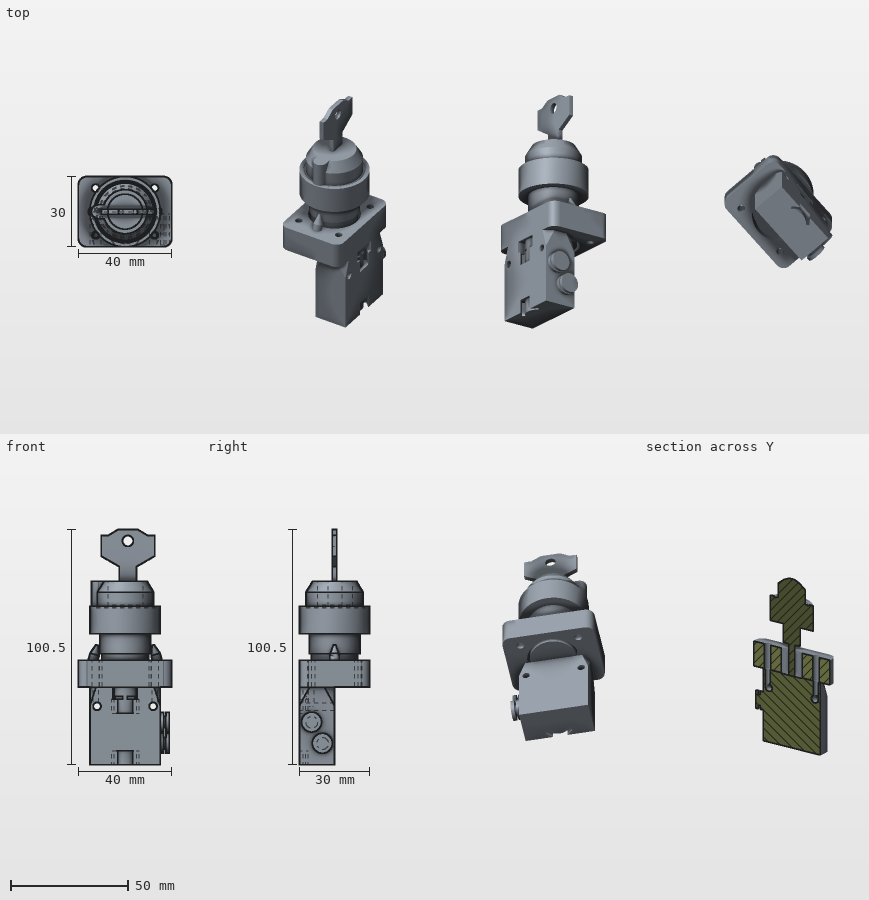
import cadquery as cq


block_height = 33.2
plate_top = 44.7
neck_step = 47.3
bezel_bottom = 55.9
bezel_top = 67.7
cone_start = 73.8
knob_top = 78.4
key_top = 100.5

plate_length = 40.0
plate_width = 30.0
plate_corner_radius = 3.7
neck_hole_dia = 22.5
screw_hole_dia = 3.2
screw_hole_x = 12.6
screw_hole_y = 10.0

pin_dia = 4.0
pin_tip_dia = 1.0
pin_x = 13.7
pin_tilt = 15.0
pin_shank_length = 2.5
pin_cone_length = 4.1
pin_root_length = 1.5

block_length = plate_width
block_depth = plate_width / 2
corner_cut_x = 2.6
corner_cut_y = 4.3
corner_cut_height = 7.9
cross_hole_dia = 3.2
cross_hole_x = 12.0
cross_hole_z = 25.0
screw_pilot_dia = 2.4

core_dia = 12.3
core_setback = 1.4
window_width = 10.6
window_bottom = 28.0
window_depth = 3.6
slot_width = 6.4
slot_flare_depth = 2.6
slot_depth = 3.9
upper_slot_bottom = 22.0
lower_slot_height = 6.0
notch_inner_x = 1.0
notch_height = 1.2
notch_depth = 3.0

terminal_dia = 8.5
terminal_waist_dia = 5.0
terminal_length = 3.9
terminal_flange = 1.5
terminal_height = 9.2
terminal_spacing = 9.0
terminal_offset = 2.3

neck_dia = 21.7
collar_dia = 20.0
bezel_dia = plate_width
knob_dia = 24.4
knob_top_dia = 18.8
groove_dia = 26.5
groove_lip_dia = 25.5
groove_depth = 0.6
groove_lip_drop = 0.3
lever_radius = 3.0
lever_reach = 14.4

lock_dia = 15.0
lock_depth = 10.0
key_x = 1.2
key_thickness = 2.0
blade_width = 7.5
bow_width = 22.9
bow_neck_z = 84.6
bow_bottom_z = 89.0
shoulder_z = 98.0
shoulder_width = 16.7
crown_width = 8.3
key_hole_dia = 4.5
key_hole_z = 95.6


def cylinder(dia, bottom, top):
    """Upright cylinder on the switch axis."""
    return cq.Workplane("XY").workplane(offset=bottom).circle(dia / 2).extrude(top - bottom)


def box(x_min, x_max, y_min, y_max, z_min, z_max):
    size = (x_max - x_min, y_max - y_min, z_max - z_min)
    return cq.Workplane("XY").box(*size, centered=False).translate((x_min, y_min, z_min))


def spring_pin(side):
    """Pointed pin that leans toward the switch axis; side is -1 or 1."""
    profile = [
        (0, -pin_root_length),
        (pin_dia / 2, -pin_root_length),
        (pin_dia / 2, pin_shank_length),
        (pin_tip_dia / 2, pin_shank_length + pin_cone_length),
        (0, pin_shank_length + pin_cone_length),
    ]
    pin = cq.Workplane("XZ").polyline(profile).close().revolve(360, (0, 0), (0, 1))
    pin = pin.rotate((0, 0, 0), (0, 1, 0), -side * pin_tilt)
    return pin.translate((side * pin_x, 0, plate_top))


def make_plate():
    plate = (
        cq.Workplane("XY")
        .workplane(offset=block_height)
        .rect(plate_length, plate_width)
        .extrude(plate_top - block_height)
        .edges("|Z")
        .fillet(plate_corner_radius)
    )
    for side in (-1, 1):
        plate = plate.union(spring_pin(side))
    screw_holes = (
        cq.Workplane("XY")
        .workplane(offset=block_height)
        .rect(2 * screw_hole_x, 2 * screw_hole_y, forConstruction=True)
        .vertices()
        .circle(screw_hole_dia / 2)
        .extrude(plate_top - block_height)
    )
    return plate.cut(screw_holes).cut(cylinder(neck_hole_dia, block_height, plate_top))


def block_corner_cut(x_side, y_corner, y_inward):
    """Sloping three-sided cut at one upper corner of the block."""
    x_corner = x_side * block_length / 2
    apex = cq.Vector(x_corner, y_corner, block_height - corner_cut_height)
    corner = cq.Vector(x_corner, y_corner, block_height)
    along_x = cq.Vector(x_corner - x_side * corner_cut_x, y_corner, block_height)
    along_y = cq.Vector(x_corner, y_corner + y_inward * corner_cut_y, block_height)
    triangles = [
        (corner, along_x, along_y),
        (corner, along_x, apex),
        (corner, along_y, apex),
        (along_x, along_y, apex),
    ]
    faces = [cq.Face.makeFromWires(cq.Wire.makePolygon(points, close=True)) for points in triangles]
    return cq.Workplane(cq.Solid.makeSolid(cq.Shell.makeShell(faces)))


def flared_slot(bottom, top):
    """Front slot whose sides flare out at 45 degrees and then close in again at 45 degrees."""
    front = -block_depth
    half_mouth = slot_width / 2
    half_flare = half_mouth + slot_flare_depth
    half_back = half_flare - (slot_depth - slot_flare_depth)
    right_half = [
        (half_mouth, front),
        (half_flare, front + slot_flare_depth),
        (half_back, front + slot_depth),
    ]
    left_half = [(-x, y) for x, y in reversed(right_half)]
    outline = cq.Workplane("XY").workplane(offset=bottom).polyline(right_half + left_half).close()
    return outline.extrude(top - bottom)


def block_recesses():
    """Window and slots in the front of the block, cut around the round core."""
    front = -block_depth
    half_window = window_width / 2
    window = box(-half_window, half_window, front, front + window_depth, window_bottom, block_height)
    upper_slot = flared_slot(upper_slot_bottom, window_bottom)
    lower_slot = flared_slot(0, lower_slot_height)
    core_y = front + core_setback + core_dia / 2
    core = cylinder(core_dia, 0, block_height).translate((0, core_y, 0))
    recesses = window.union(upper_slot).union(lower_slot).cut(core)
    notch = box(
        notch_inner_x, half_window,
        front + core_setback, front + notch_depth,
        window_bottom, window_bottom + notch_height,
    )
    return recesses.union(notch).union(notch.mirror("YZ"))


def terminal(y, height):
    """Round terminal with a narrow waist on the +X side of the block."""
    profile = [
        (0, 0),
        (0, terminal_dia / 2),
        (terminal_flange, terminal_dia / 2),
        (terminal_flange, terminal_waist_dia / 2),
        (terminal_length - terminal_flange, terminal_waist_dia / 2),
        (terminal_length - terminal_flange, terminal_dia / 2),
        (terminal_length, terminal_dia / 2),
        (terminal_length, 0),
    ]
    body = cq.Workplane("XY").polyline(profile).close().revolve(360, (0, 0), (1, 0))
    return body.translate((block_length / 2, y, height))


def make_block():
    block = box(-block_length / 2, block_length / 2, -block_depth, 0, 0, block_height)
    for x_side in (-1, 1):
        block = block.cut(block_corner_cut(x_side, -block_depth, 1))
        block = block.cut(block_corner_cut(x_side, 0, -1))
    cross_holes = (
        cq.Workplane("XZ")
        .pushPoints([(-cross_hole_x, cross_hole_z), (cross_hole_x, cross_hole_z)])
        .circle(cross_hole_dia / 2)
        .extrude(block_depth)
    )
    screw_pilots = (
        cq.Workplane("XY")
        .workplane(offset=cross_hole_z)
        .pushPoints([(-screw_hole_x, -screw_hole_y), (screw_hole_x, -screw_hole_y)])
        .circle(screw_pilot_dia / 2)
        .extrude(block_height - cross_hole_z)
    )
    block = block.cut(cross_holes).cut(screw_pilots).cut(block_recesses())
    middle_y = -block_depth / 2
    block = block.union(terminal(middle_y + terminal_offset, terminal_height))
    block = block.union(terminal(middle_y - terminal_offset, terminal_height + terminal_spacing))
    return block


def make_head():
    profile = [
        (0, block_height),
        (collar_dia / 2, block_height),
        (collar_dia / 2, neck_step),
        (neck_dia / 2, neck_step),
        (neck_dia / 2, bezel_bottom),
        (bezel_dia / 2, bezel_bottom),
        (bezel_dia / 2, bezel_top),
        (groove_dia / 2, bezel_top),
        (groove_dia / 2, bezel_top - groove_depth),
        (groove_lip_dia / 2, bezel_top - groove_depth),
        (groove_lip_dia / 2, bezel_top - groove_lip_drop),
        (knob_dia / 2, bezel_top - groove_lip_drop),
        (knob_dia / 2, cone_start),
        (knob_top_dia / 2, knob_top),
        (0, knob_top),
    ]
    head = cq.Workplane("XZ").polyline(profile).close().revolve(360, (0, 0), (0, 1))
    lever_height = knob_top - bezel_top
    lever_length = lever_reach - lever_radius
    lever = (
        cq.Workplane("XY")
        .workplane(offset=bezel_top)
        .moveTo(0, lever_radius)
        .lineTo(-lever_length, lever_radius)
        .threePointArc((-lever_reach, 0), (-lever_length, -lever_radius))
        .lineTo(0, -lever_radius)
        .close()
        .extrude(lever_height)
    )
    return head.union(lever).cut(cylinder(lock_dia, knob_top - lock_depth, knob_top))


def make_key():
    """Lock cylinder with the key standing in it."""
    right_half = [
        (blade_width / 2, knob_top),
        (blade_width / 2, bow_neck_z),
        (bow_width / 2, bow_bottom_z),
        (bow_width / 2, shoulder_z),
        (shoulder_width / 2, shoulder_z),
        (crown_width / 2, key_top),
    ]
    left_half = [(-x, z) for x, z in reversed(right_half)]
    blade = (
        cq.Workplane("XZ")
        .polyline(right_half + left_half)
        .close()
        .extrude(key_thickness / 2, both=True)
    )
    key_hole = (
        cq.Workplane("XZ")
        .center(0, key_hole_z)
        .circle(key_hole_dia / 2)
        .extrude(key_thickness, both=True)
    )
    blade = blade.cut(key_hole).translate((key_x, 0, 0))
    return cylinder(lock_dia, knob_top - lock_depth, knob_top).union(blade)


plate = make_plate()
block = make_block()
head = make_head()
key = make_key()

result = cq.Compound.makeCompound([plate.val(), block.val(), head.val(), key.val()])